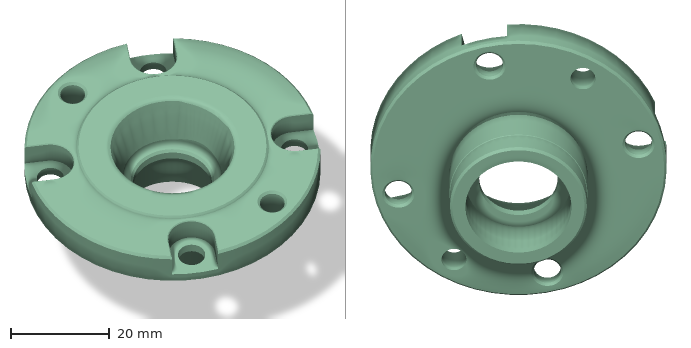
import cadquery as cq
import math

FLANGE_TOP = -0.5
POCKET_FLOOR = -5.5
FLANGE_BOTTOM = -8.0
BODY_TOP = -9.5
BODY_BOTTOM = -17.75
PART_BOTTOM = -23.0

FLANGE_R = 30.0
RING_R = 19.5
NECK_R = 13.5
BODY_R = 14.0
SPIGOT_R = 13.85

EDGE_CHAMFER = 0.5
STEP_CHAMFER = 0.1

MOUTH_R = 13.6
MOUTH_FILLET = 1.55
TAPER_TOP_R = 12.65
TAPER_BOTTOM_R = 10.0
TAPER_BOTTOM = -9.3
SEAT_FLOOR = -10.55
SEAT_FILLET = 1.0
SEAT_BAND_TOP = -7.8
BORE_R = 8.0
BORE_LIP_BOTTOM = -12.8
LOWER_BORE_R = 10.75

PAD_ARC_R = 12.85
PAD_TOP_REACH = 12.55
PAD_TOP_HALF_WIDTH = 4.7
PAD_BOTTOM_REACH = 9.8
PAD_BOTTOM_HALF_WIDTH = 3.7
PAD_SIDE_RUN = 1.4
PAD_BACK_Y = 13.2

HOLE_CIRCLE_R = 25.0
POCKET_HALF_WIDTH = 4.75
POCKET_CHAMFER = 0.2
SCREW_HOLE_D = 5.5
SCREW_ANGLES = (45, 135, 225, 315)
PIN_HOLE_D = 5.05
PIN_ANGLES = (0, 180)

MARGIN = 0.6


def revolve_about_z(profile):
    """Revolve a closed XZ profile a full turn about the Z axis."""
    return profile.close().revolve(360, (0, 0, 0), (0, 1, 0))


def polar_point(angle):
    """Point on the hole circle at the given angle in degrees."""
    turn = math.radians(angle)
    return (HOLE_CIRCLE_R * math.cos(turn), HOLE_CIRCLE_R * math.sin(turn))


def outer_body():
    """Flange with raised ring, neck, body and spigot, all edges chamfered."""
    profile = cq.Workplane("XZ").polyline([
        (0, 0),
        (RING_R - EDGE_CHAMFER, 0),
        (RING_R, FLANGE_TOP),
        (FLANGE_R - EDGE_CHAMFER, FLANGE_TOP),
        (FLANGE_R, FLANGE_TOP - EDGE_CHAMFER),
        (FLANGE_R, FLANGE_BOTTOM + EDGE_CHAMFER),
        (FLANGE_R - EDGE_CHAMFER, FLANGE_BOTTOM),
        (NECK_R, FLANGE_BOTTOM),
        (NECK_R, BODY_TOP),
        (BODY_R, BODY_TOP - EDGE_CHAMFER),
        (BODY_R, BODY_BOTTOM),
        (SPIGOT_R, BODY_BOTTOM - STEP_CHAMFER),
        (SPIGOT_R, PART_BOTTOM + EDGE_CHAMFER),
        (SPIGOT_R - EDGE_CHAMFER, PART_BOTTOM),
        (0, PART_BOTTOM),
    ])
    return revolve_about_z(profile)


def taper_cavity():
    """Tapered wall running down to the seat."""
    profile = cq.Workplane("XZ").polyline([
        (0, 0),
        (TAPER_TOP_R, 0),
        (TAPER_BOTTOM_R, TAPER_BOTTOM),
        (0, TAPER_BOTTOM),
    ])
    return revolve_about_z(profile)


def mouth_cavity():
    """Convex rounding that opens the tapered wall to the top face."""
    throat_r = MOUTH_R - MOUTH_FILLET
    diagonal = MOUTH_FILLET * math.sqrt(0.5)
    profile = (
        cq.Workplane("XZ")
        .moveTo(0, 0)
        .lineTo(MOUTH_R, 0)
        .threePointArc(
            (MOUTH_R - diagonal, diagonal - MOUTH_FILLET),
            (throat_r, -MOUTH_FILLET),
        )
        .lineTo(0, -MOUTH_FILLET)
    )
    return revolve_about_z(profile)


def seat_and_bore():
    """Round-cornered seat that trims the pads, chamfered bore lip and lower bore."""
    diagonal = SEAT_FILLET * math.sqrt(0.5)
    fillet_centre_r = TAPER_BOTTOM_R - SEAT_FILLET
    fillet_centre_z = SEAT_FLOOR + SEAT_FILLET
    profile = (
        cq.Workplane("XZ")
        .moveTo(0, SEAT_BAND_TOP)
        .lineTo(TAPER_BOTTOM_R, SEAT_BAND_TOP)
        .lineTo(TAPER_BOTTOM_R, fillet_centre_z)
        .threePointArc(
            (fillet_centre_r + diagonal, fillet_centre_z - diagonal),
            (fillet_centre_r, SEAT_FLOOR),
        )
        .lineTo(BORE_R + EDGE_CHAMFER, SEAT_FLOOR)
        .lineTo(BORE_R, SEAT_FLOOR - EDGE_CHAMFER)
        .lineTo(BORE_R, BORE_LIP_BOTTOM)
        .lineTo(LOWER_BORE_R, BORE_LIP_BOTTOM)
        .lineTo(LOWER_BORE_R, PART_BOTTOM - MARGIN)
        .lineTo(0, PART_BOTTOM - MARGIN)
    )
    return revolve_about_z(profile)


def pad_section(level, taper_r, reach, half_width):
    """Closed wire of a pad at one level: an arched face whose sides run out on the taper."""
    edge_y = reach - PAD_ARC_R + math.sqrt(PAD_ARC_R**2 - half_width**2)
    outer_x = half_width + PAD_SIDE_RUN
    outer_y = math.sqrt(taper_r**2 - outer_x**2)
    return (
        cq.Workplane("XY", origin=(0, 0, level))
        .moveTo(-half_width, edge_y)
        .threePointArc((0, reach), (half_width, edge_y))
        .lineTo(outer_x, outer_y)
        .lineTo(outer_x, PAD_BACK_Y)
        .lineTo(-outer_x, PAD_BACK_Y)
        .lineTo(-outer_x, outer_y)
        .close()
        .val()
    )


def wall_pads():
    """Pair of pads that stand slightly proud of the tapered wall."""
    top = pad_section(0, TAPER_TOP_R, PAD_TOP_REACH, PAD_TOP_HALF_WIDTH)
    bottom = pad_section(
        TAPER_BOTTOM, TAPER_BOTTOM_R, PAD_BOTTOM_REACH, PAD_BOTTOM_HALF_WIDTH
    )
    pad = cq.Workplane(cq.Solid.makeLoft([top, bottom], True))
    return pad.union(pad.rotate((0, 0, 0), (0, 0, 1), 180))


def screw_pocket(angle):
    """Round-ended pocket open at the rim, with a chamfered upper edge."""
    length = FLANGE_R - HOLE_CIRCLE_R + MARGIN

    def slot(level, half_width):
        return (
            cq.Workplane("XY", origin=(0, 0, level))
            .moveTo(HOLE_CIRCLE_R + length, half_width)
            .lineTo(HOLE_CIRCLE_R, half_width)
            .threePointArc(
                (HOLE_CIRCLE_R - half_width, 0),
                (HOLE_CIRCLE_R, -half_width),
            )
            .lineTo(HOLE_CIRCLE_R + length, -half_width)
            .close()
        )

    pocket = slot(POCKET_FLOOR, POCKET_HALF_WIDTH).extrude(FLANGE_TOP - POCKET_FLOOR)
    chamfer = cq.Workplane(cq.Solid.makeLoft([
        slot(FLANGE_TOP - POCKET_CHAMFER, POCKET_HALF_WIDTH).val(),
        slot(FLANGE_TOP, POCKET_HALF_WIDTH + POCKET_CHAMFER).val(),
    ], True))
    return pocket.union(chamfer).rotate((0, 0, 0), (0, 0, 1), angle)


def flange_holes(angles, diameter):
    """Straight holes through the flange on the hole circle."""
    return (
        cq.Workplane("XY", origin=(0, 0, FLANGE_TOP))
        .pushPoints([polar_point(angle) for angle in angles])
        .circle(diameter / 2)
        .extrude(FLANGE_BOTTOM - FLANGE_TOP - MARGIN)
    )


def hole_chamfer(angle, diameter, level, inward):
    """Conical lead-in of a hole at a flange face, narrowing along Z by the sign of inward."""
    x, y = polar_point(angle)
    radius = diameter / 2
    return cq.Workplane(cq.Solid.makeCone(
        radius + EDGE_CHAMFER,
        radius,
        EDGE_CHAMFER,
        pnt=cq.Vector(x, y, level),
        dir=cq.Vector(0, 0, inward),
    ))


result = outer_body()
result = result.cut(taper_cavity().cut(wall_pads()))
result = result.cut(mouth_cavity())
result = result.cut(seat_and_bore())

result = result.cut(flange_holes(SCREW_ANGLES, SCREW_HOLE_D))
for screw_angle in SCREW_ANGLES:
    result = result.cut(screw_pocket(screw_angle))
    result = result.cut(hole_chamfer(screw_angle, SCREW_HOLE_D, FLANGE_BOTTOM, 1))

result = result.cut(flange_holes(PIN_ANGLES, PIN_HOLE_D))
for pin_angle in PIN_ANGLES:
    result = result.cut(hole_chamfer(pin_angle, PIN_HOLE_D, FLANGE_TOP, -1))